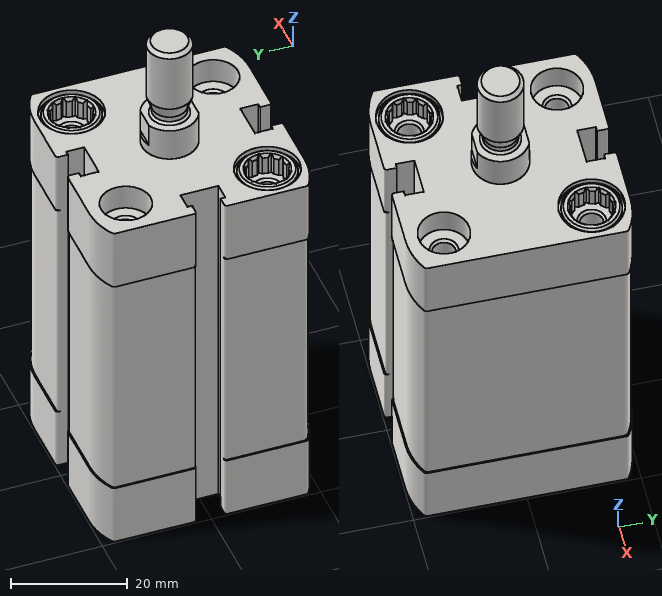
import cadquery as cq
import math


housing_width = 39.5
housing_height = 69.0
cap_height = 12.0
barrel_inset = 0.25

corner_arc_x = 13.1
corner_arc_radius = 12.5
cap_edge_radius = 0.7
barrel_edge_radius = 1.0

slot_mouth_width = 5.2
slot_inner_width = 6.9
slot_lip_depth = 2.2
slot_depth = 5.5
slot_lip_radius = 0.5
slot_angles = (0, 90, 180)

hole_offset = 13.0
hole_diameter = 4.1
hole_chamfer_diameter = 5.0
counterbore_diameter = 9.0
counterbore_depth = 4.8

recess_diameter = 11.5
recess_depth = 1.0
head_diameter = 10.5
head_rim_diameter = 9.7
head_sink = 0.1
socket_diameter = 7.5
socket_rim_diameter = 8.2
socket_point_diameter = 8.4
socket_rim_height = 0.7
socket_depth = 4.2
socket_squares = 3

collar_diameter = 10.0
collar_height = 6.3
flat_across = 9.1
flat_height = 4.4
neck_diameter = 6.2
neck_height = 1.5
neck_foot_size = 0.5
taper_height = 2.6
thread_diameter = 8.0
thread_chamfer = 0.7
overall_height = 91.3

half_width = housing_width / 2


def cone(center, z_bottom, bottom_diameter, top_diameter, height):
    """Truncated cone standing along Z."""
    base = cq.Vector(center[0], center[1], z_bottom)
    return cq.Workplane(
        cq.Solid.makeCone(bottom_diameter / 2, top_diameter / 2, height, base)
    )


def cylinder(center, z_bottom, diameter, height):
    return (
        cq.Workplane("XY", origin=(center[0], center[1], z_bottom))
        .circle(diameter / 2)
        .extrude(height)
    )


def section_block(inset, edge_radius, z_bottom, height):
    """Length of the housing section, shrunk by the inset on all sides."""
    half = half_width - inset
    radius = corner_arc_radius - inset
    arc_center_y = half_width - corner_arc_radius
    end_angle = math.acos((half - corner_arc_x) / radius)
    middle_angle = (math.pi / 2 + end_angle) / 2
    arc_end_y = arc_center_y + radius * math.sin(end_angle)
    arc_middle_x = corner_arc_x + radius * math.cos(middle_angle)
    arc_middle_y = arc_center_y + radius * math.sin(middle_angle)
    block = (
        cq.Workplane("XY", origin=(0, 0, z_bottom))
        .moveTo(-corner_arc_x, half)
        .lineTo(corner_arc_x, half)
        .threePointArc((arc_middle_x, arc_middle_y), (half, arc_end_y))
        .lineTo(half, -arc_end_y)
        .threePointArc((arc_middle_x, -arc_middle_y), (corner_arc_x, -half))
        .lineTo(-corner_arc_x, -half)
        .threePointArc((-arc_middle_x, -arc_middle_y), (-half, -arc_end_y))
        .lineTo(-half, arc_end_y)
        .threePointArc((-arc_middle_x, arc_middle_y), (-corner_arc_x, half))
        .close()
        .extrude(height)
    )
    for side in (">X", "<X"):
        block = block.faces(side).edges("|Z").fillet(edge_radius)
    for angle in slot_angles:
        block = block.cut(slot_cutter(half, z_bottom, height, angle))
    return block


def slot_cutter(face_distance, z_bottom, height, angle):
    """T-slot with rounded mouth edges, turned about Z from the -Y face."""
    mouth = slot_mouth_width / 2
    inner = slot_inner_width / 2
    flare = mouth + slot_lip_radius
    face_y = -face_distance
    lip_y = -half_width + slot_lip_depth
    floor_y = -half_width + slot_depth
    round_y = face_y + slot_lip_radius
    bulge = slot_lip_radius * (1 - math.sqrt(0.5))
    return (
        cq.Workplane("XY", origin=(0, 0, z_bottom))
        .moveTo(-flare, face_y)
        .threePointArc((-mouth - bulge, face_y + bulge), (-mouth, round_y))
        .lineTo(-mouth, lip_y)
        .lineTo(-inner, lip_y)
        .lineTo(-inner, floor_y)
        .lineTo(inner, floor_y)
        .lineTo(inner, lip_y)
        .lineTo(mouth, lip_y)
        .lineTo(mouth, round_y)
        .threePointArc((mouth + bulge, face_y + bulge), (flare, face_y))
        .close()
        .extrude(height)
        .rotate((0, 0, 0), (0, 0, 1), -angle)
    )


def through_hole(center, floor_z):
    """Bore through the housing with a chamfered mouth at floor_z."""
    chamfer_height = (hole_chamfer_diameter - hole_diameter) / 2
    bore = cylinder(center, 0, hole_diameter, floor_z)
    mouth = cone(center, floor_z - chamfer_height, hole_diameter, hole_chamfer_diameter, chamfer_height)
    return bore.union(mouth)


def counterbored_hole(center):
    floor_z = housing_height - counterbore_depth
    counterbore = cylinder(center, floor_z, counterbore_diameter, counterbore_depth)
    return counterbore.union(through_hole(center, floor_z))


def head_recess(center):
    """Clearance around and above a bevelled screw head."""
    bevel = (head_diameter - head_rim_diameter) / 2
    recess_z = housing_height - recess_depth
    head_top_z = housing_height - head_sink
    bevel_z = head_top_z - bevel
    head = cylinder(center, recess_z, head_diameter, bevel_z - recess_z)
    head = head.union(cone(center, bevel_z, head_diameter, head_rim_diameter, bevel))
    return cylinder(center, recess_z, recess_diameter, recess_depth).cut(head)


def socket(center):
    """Twelve-point socket with a chamfered rim and a bore through its floor."""
    head_top_z = housing_height - head_sink
    floor_z = head_top_z - socket_depth
    rim_z = head_top_z - socket_rim_height
    square_side = socket_point_diameter / math.sqrt(2)
    cutter = cylinder(center, floor_z, socket_diameter, socket_depth)
    for index in range(socket_squares):
        square = (
            cq.Workplane("XY", origin=(center[0], center[1], floor_z))
            .transformed(rotate=(0, 0, 45 + index * 90 / socket_squares))
            .rect(square_side, square_side)
            .extrude(socket_depth)
        )
        cutter = cutter.union(square)
    rim = cone(center, rim_z, socket_diameter, socket_rim_diameter, socket_rim_height)
    return cutter.union(rim).union(through_hole(center, floor_z))


def make_housing():
    barrel_height = housing_height - 2 * cap_height
    front_cap_z = housing_height - cap_height
    body = section_block(barrel_inset, barrel_edge_radius, cap_height, barrel_height)
    for cap_z in (0, front_cap_z):
        body = body.union(section_block(0, cap_edge_radius, cap_z, cap_height))
    for side in (-1, 1):
        body = body.cut(counterbored_hole((side * hole_offset, -side * hole_offset)))
        screw_center = (side * hole_offset, side * hole_offset)
        body = body.cut(head_recess(screw_center))
        body = body.cut(socket(screw_center))
    return body


def make_rod():
    """Rod end: flatted collar, necked undercut and threaded stud."""
    collar_radius = collar_diameter / 2
    neck_radius = neck_diameter / 2
    thread_radius = thread_diameter / 2
    collar_top = housing_height + collar_height
    taper_bottom = collar_top + neck_height
    thread_bottom = taper_bottom + taper_height
    rod = (
        cq.Workplane("XZ")
        .moveTo(0, housing_height)
        .lineTo(collar_radius, housing_height)
        .lineTo(collar_radius, collar_top)
        .lineTo(neck_radius + neck_foot_size, collar_top)
        .lineTo(neck_radius, collar_top + neck_foot_size)
        .lineTo(neck_radius, taper_bottom)
        .lineTo(thread_radius, thread_bottom)
        .lineTo(thread_radius, overall_height - thread_chamfer)
        .lineTo(thread_radius - thread_chamfer, overall_height)
        .lineTo(0, overall_height)
        .close()
        .revolve(360, (0, 0, 0), (0, 1, 0))
    )
    flat_depth = collar_radius - flat_across / 2
    for side in (-1, 1):
        flat_center_y = side * (flat_across + flat_depth) / 2
        flat = (
            cq.Workplane("XY", origin=(0, flat_center_y, collar_top - flat_height))
            .rect(collar_diameter, flat_depth)
            .extrude(flat_height)
        )
        rod = rod.cut(flat)
    return rod


housing = make_housing()
piston_rod = make_rod()
result = cq.Compound.makeCompound([*housing.solids().vals(), *piston_rod.solids().vals()])